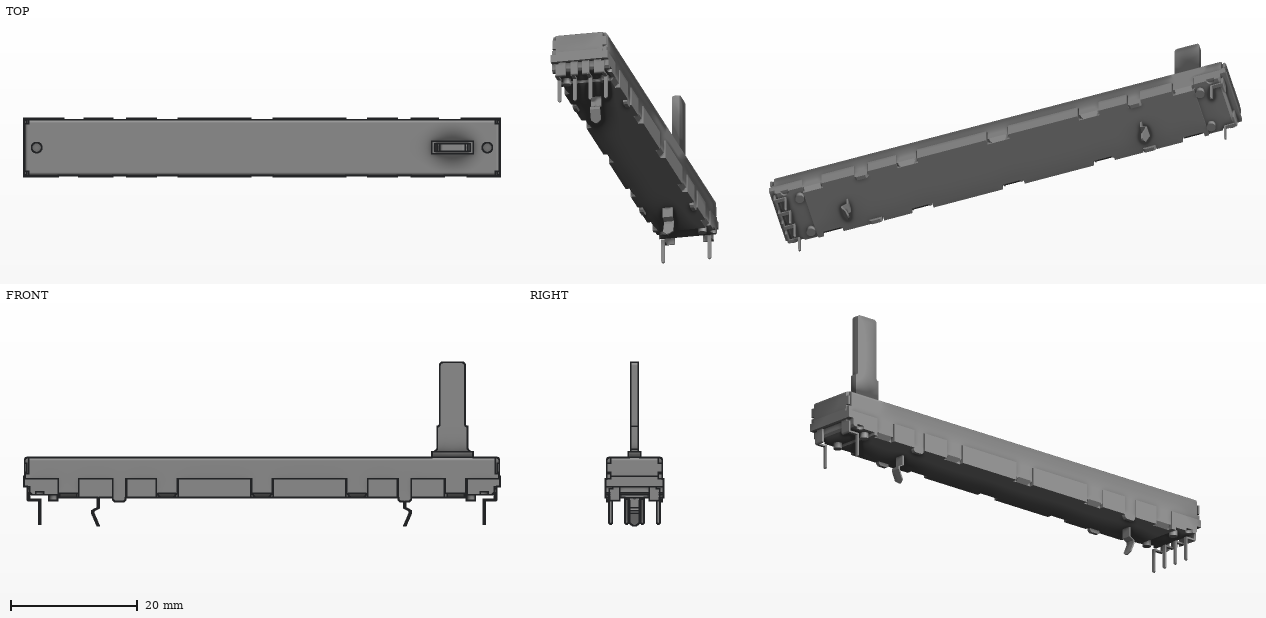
import cadquery as cq


cover_top = 10.8
window_top = 7.4
base_bottom = 4.45
end_bottom = 4.9
overall_height = 25.8

body_length = 75.0
cover_recess = 0.1
base_width = 9.2
cover_width = 8.8
cover_bend_radius = 0.5
end_lip_bottom = 6.2
end_lip_depth = 0.9
end_bevel = 0.35

corner_length = 0.75
corner_width = 0.65
corner_bottom = 8.2
ear_bottom = 8.45
ear_top = 9.9
ear_thickness = 0.45
ear_width = 0.6
flap_bottom = 7.8
corner_wall_setback = 0.2

outer_leg_x_front = 30.5
outer_leg_x_back = 29.6
middle_leg_xs = (-15.0, 0.0, 15.0)
leg_width = 3.25
tab_width = 2.7
tab_height = 0.7
tab_inset = 0.6
middle_tab_taper = 0.6
leg_slit = 0.18
long_leg_x = 22.5
long_leg_width = 2.05
long_leg_bottom = 3.85
long_leg_chamfer = 0.3
long_leg_thickness = 0.6

hole_x = 35.5
hole_diameter = 1.6
hole_depth = 0.6
peg_x = 32.9
peg_y = 3.1
peg_diameter = 1.4
peg_bottom = 4.0
notch_x = 35.0
notch_diameter = 1.3
notch_height = 0.5

lever_x = 30.0
lever_thickness = 1.2
flange_length = 6.5
flange_width = 2.0
flange_top = 11.7
shank_length = 4.8
shank_top = 15.7
blade_length = 4.0
blade_corner_radius = 0.5
foot_chamfer = 0.42
shoulder_fillet = 0.3

sheet = 0.28
bend_radius = 0.25
terminal_x = 36.83
pin_x = 35.0
pin_width = 0.55
pin_bottom = 0.3
pin_tip = 0.2
foot_z = 4.1
inner_pin_y = 1.25
outer_pin_y = 3.75
inner_strip = (0.35, 1.5)
outer_strip = (2.3, 3.95)
strip_notch_width = 0.5
strip_notch_bottom = 5.9

left_clip_x = -25.8
right_clip_x = 22.5
clip_bulge = 0.85
clip_bend_z = 2.85
clip_elbow_top = 2.4
clip_elbow_bottom = 2.0
clip_width = 1.6
clip_tip_width = 0.4
clip_tip_height = 0.45

half_length = body_length / 2
SIDES = (-1, 1)


def block(x_min, x_max, y_min, y_max, z_min, z_max):
    """Box between the given limits; each pair may come in either order."""
    size = (abs(x_max - x_min), abs(y_max - y_min), abs(z_max - z_min))
    centre = ((x_min + x_max) / 2, (y_min + y_max) / 2, (z_min + z_max) / 2)
    return cq.Workplane("XY").box(*size).translate(centre)


def post(x, y, z_min, z_max, diameter):
    return cq.Workplane("XY", origin=(x, y, z_min)).circle(diameter / 2).extrude(z_max - z_min)


def make_housing():
    """Filled cover and base, with legs set back between the raised base blocks."""
    half_cover_length = half_length - cover_recess
    half_cover = cover_width / 2
    cover = block(-half_cover_length, half_cover_length, -half_cover, half_cover, window_top, cover_top)
    cover = cover.faces(">Z").edges().fillet(cover_bend_radius)
    base = block(-half_length, half_length, -base_width / 2, base_width / 2, base_bottom, window_top)
    housing = cover.union(base)
    for side, outer_x in ((-1, outer_leg_x_front), (1, outer_leg_x_back)):
        for x in (-outer_x, outer_x):
            housing = cut_leg_gap(housing, x, leg_width, side)
            housing = slope_tab(housing, x, side)
            housing = cut_tab_slits(housing, x, side)
        for x in middle_leg_xs:
            housing = cut_leg_gap(housing, x, leg_width, side)
            housing = slope_tab(housing, x, side)
            housing = taper_tab(housing, x, side)
        for mirror in SIDES:
            x = mirror * long_leg_x
            housing = cut_leg_gap(housing, x, long_leg_width, side)
            housing = housing.union(long_leg(x, side))
            inner_edge = long_leg_x - long_leg_width / 2
            housing = cut_slit(housing, mirror * inner_edge, -mirror, side)
            centre_x, middle_x = middle_leg_xs[1:]
            housing = cut_slit(housing, mirror * (centre_x + leg_width / 2), mirror, side)
            housing = cut_slit(housing, mirror * (middle_x - leg_width / 2), -mirror, side)
            housing = cut_slit(housing, outer_x + mirror * leg_width / 2, mirror, side)
    return housing


def cut_leg_gap(body, x, width, side):
    outer_y = side * base_width / 2
    wall_y = side * cover_width / 2
    return body.cut(block(x - width / 2, x + width / 2, wall_y, outer_y, base_bottom, window_top))


def slope_tab(body, x, side):
    """Slope the foot of a short leg inward."""
    wall_y = side * cover_width / 2
    inner_y = wall_y - side * tab_inset
    tab_top = base_bottom + tab_height
    slope = (
        cq.Workplane("YZ", origin=(x - tab_width / 2, 0, 0))
        .polyline([(wall_y, tab_top), (wall_y, base_bottom), (inner_y, base_bottom)])
        .close()
        .extrude(tab_width)
    )
    return body.cut(slope)


def cut_tab_slits(body, x, side):
    """Open a slit at either side of the foot of a short leg."""
    wall_y = side * cover_width / 2
    inner_y = wall_y - side * tab_inset
    tab_top = base_bottom + tab_height
    for end in SIDES:
        slit_inner = x + end * tab_width / 2
        slit_outer = x + end * leg_width / 2
        body = body.cut(block(slit_inner, slit_outer, inner_y, wall_y, base_bottom, tab_top))
    return body


def taper_tab(body, x, side):
    """Slant both sides of the foot of a short leg so that it narrows downward."""
    back_y = cover_width / 2 if side > 0 else tab_inset - cover_width / 2
    for end in SIDES:
        edge_x = x + end * leg_width / 2
        corner = (
            cq.Workplane("XZ", origin=(0, back_y, 0))
            .polyline([
                (edge_x, base_bottom + tab_height),
                (edge_x, base_bottom),
                (edge_x - end * middle_tab_taper, base_bottom),
            ])
            .close()
            .extrude(tab_inset)
        )
        body = body.cut(corner)
    return body


def cut_slit(body, edge_x, direction, side):
    """Open a narrow clearance from the edge of a leg gap into the neighbouring block."""
    outer_y = side * base_width / 2
    inner_y = side * (cover_width / 2 - tab_inset)
    far_x = edge_x + direction * leg_slit
    return body.cut(block(edge_x, far_x, inner_y, outer_y, base_bottom, window_top))


def long_leg(x, side):
    wall_y = side * cover_width / 2
    inner_y = wall_y - side * long_leg_thickness
    leg = block(
        x - long_leg_width / 2, x + long_leg_width / 2, inner_y, wall_y, long_leg_bottom, window_top
    )
    return leg.faces("<Z").edges("|Y").chamfer(long_leg_chamfer)


def shape_end(body, end):
    """Step the lower end back under a lip and relieve the folded corners of the cover."""
    tip_x = end * half_length
    step_x = tip_x - end * end_lip_depth
    half_base = base_width / 2
    half_cover = cover_width / 2
    inner_x = end * (outer_leg_x_front + leg_width / 2)
    body = body.cut(block(step_x, tip_x, -half_base, half_base, base_bottom, end_lip_bottom))
    body = body.cut(block(inner_x, tip_x, -half_base, half_base, base_bottom, end_bottom))
    bevel = (
        cq.Workplane("XZ", origin=(0, half_base, 0))
        .polyline([
            (step_x, end_bottom),
            (step_x - end * end_bevel, end_bottom),
            (step_x, end_bottom + end_bevel),
        ])
        .close()
        .extrude(base_width)
    )
    body = body.cut(bevel)
    lip_y = half_cover - corner_width
    body = body.union(block(step_x, tip_x, -lip_y, lip_y, window_top, flap_bottom))
    flap_x = tip_x - end * cover_recess
    for side in SIDES:
        corner_y = side * lip_y
        relief_x = tip_x - end * corner_length
        body = body.cut(block(relief_x, tip_x, corner_y, side * half_cover, corner_bottom, cover_top))
        ear_x = tip_x - end * ear_thickness
        ear_y = corner_y + side * ear_width
        body = body.union(block(ear_x, flap_x, corner_y, ear_y, ear_bottom, ear_top))
        wall_x = tip_x - end * corner_wall_setback
        body = body.cut(block(wall_x, tip_x, corner_y, side * half_cover, window_top, corner_bottom))
        body = body.union(post(end * peg_x, side * peg_y, peg_bottom, window_top, peg_diameter))
        notch = post(end * notch_x, side * half_base, end_bottom, end_bottom + notch_height, notch_diameter)
        body = body.cut(notch)
    return body.cut(post(end * hole_x, 0, cover_top - hole_depth, cover_top, hole_diameter))


def make_lever():
    half_thickness = lever_thickness / 2
    flange = block(
        lever_x - flange_length / 2, lever_x + flange_length / 2,
        -flange_width / 2, flange_width / 2, window_top, flange_top,
    )
    half_shank = shank_length / 2
    half_blade = blade_length / 2
    half_foot = half_shank + foot_chamfer
    profile = (
        cq.Workplane("XZ", origin=(lever_x, half_thickness, 0))
        .moveTo(-half_foot, flange_top)
        .lineTo(-half_shank, flange_top + foot_chamfer)
        .lineTo(-half_shank, shank_top)
        .lineTo(-half_blade - shoulder_fillet, shank_top)
        .radiusArc((-half_blade, shank_top + shoulder_fillet), -shoulder_fillet)
        .lineTo(-half_blade, overall_height)
        .lineTo(half_blade, overall_height)
        .lineTo(half_blade, shank_top + shoulder_fillet)
        .radiusArc((half_blade + shoulder_fillet, shank_top), -shoulder_fillet)
        .lineTo(half_shank, shank_top)
        .lineTo(half_shank, flange_top + foot_chamfer)
        .lineTo(half_foot, flange_top)
        .close()
        .extrude(lever_thickness)
    )
    blade = profile.faces(">Z").edges("|Y").fillet(blade_corner_radius)
    return flange.union(blade)


def make_terminal(end, side, pin_y, strip_limits):
    """Strip down the end of the base, foot turned inward, and a pointed pin."""
    strip_x = end * terminal_x
    strip_out = strip_x + end * sheet / 2
    strip_in = end * (half_length - end_lip_depth)
    pin_out = end * (pin_x + sheet / 2)
    pin_in = end * (pin_x - sheet / 2)
    near_y, far_y = (side * limit for limit in strip_limits)
    foot_top = foot_z + sheet / 2
    foot_bottom = foot_z - sheet / 2
    pin_low_y = side * pin_y - pin_width / 2
    pin_high_y = side * pin_y + pin_width / 2
    outer_face = ">X" if end > 0 else "<X"
    wall = block(strip_out, strip_in, near_y, far_y, foot_bottom, end_lip_bottom)
    wall = wall.faces(outer_face).edges("<Z").fillet(bend_radius)
    foot = block(strip_x, pin_in, pin_low_y, pin_high_y, foot_bottom, foot_top)
    pin = block(pin_out, pin_in, pin_low_y, pin_high_y, pin_bottom, foot_top)
    pin = pin.faces("<Z").edges("|X").chamfer(pin_tip)
    terminal = wall.union(foot).union(pin)
    if pin_y == outer_pin_y:
        notch_y = far_y - side * strip_notch_width
        terminal = terminal.cut(
            block(strip_out, strip_in, notch_y, far_y, strip_notch_bottom, end_lip_bottom)
        )
    return terminal


def make_clip(x, outward):
    """Bent strip whose elbow bulges outward, narrowing to a point at its tip."""
    half_sheet = sheet / 2
    elbow_x = x + outward * clip_bulge
    sheet_centre = [
        (x, base_bottom + sheet),
        (x, clip_bend_z),
        (elbow_x, clip_elbow_top),
        (elbow_x, clip_elbow_bottom),
        (x, 0.0),
    ]
    left_edge = [(point_x - half_sheet, z) for point_x, z in sheet_centre]
    right_edge = [(point_x + half_sheet, z) for point_x, z in reversed(sheet_centre)]
    strip = (
        cq.Workplane("XZ", origin=(0, clip_width / 2, 0))
        .polyline(left_edge + right_edge)
        .close()
        .extrude(clip_width)
    )
    half_width = clip_width / 2
    half_tip = clip_tip_width / 2
    top_z = base_bottom + sheet
    outline = (
        cq.Workplane("YZ", origin=(x - 2 * clip_bulge, 0, 0))
        .polyline([
            (-half_width, top_z),
            (-half_width, clip_tip_height),
            (-half_tip, 0.0),
            (half_tip, 0.0),
            (half_width, clip_tip_height),
            (half_width, top_z),
        ])
        .close()
        .extrude(4 * clip_bulge)
    )
    return strip.intersect(outline)


result = make_housing()
for end_sign in SIDES:
    result = shape_end(result, end_sign)
result = result.union(make_lever())
for side_sign in SIDES:
    result = result.union(make_terminal(-1, side_sign, inner_pin_y, inner_strip))
    for end_sign in SIDES:
        result = result.union(make_terminal(end_sign, side_sign, outer_pin_y, outer_strip))
result = result.union(make_clip(left_clip_x, -1)).union(make_clip(right_clip_x, 1))